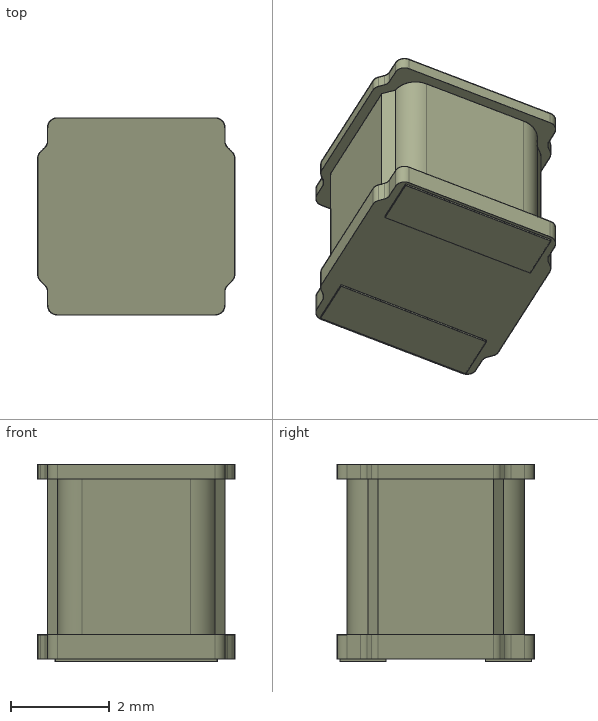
import cadquery as cq

SIZE = 4.0

TOP_PLATE_THICKNESS = 0.3
BOTTOM_PLATE_THICKNESS = 0.5
NOTCH_DEPTH = 0.2
NOTCH_START_Y = 1.25
CORNER_RADIUS = 0.2
NOTCH_RADIUS = 0.19

CORE_SIZE = 3.6
CORE_BODY_WIDTH = 3.2
CORE_RADIUS = 0.5
CORE_SIDE_LENGTH = 3.135
CORE_CHAMFER = 0.4

PAD_THICKNESS = 0.05
PAD_LENGTH = 3.29
PAD_WIDTH = 0.94
PAD_OUTER_Y = 1.945

core_bottom = PAD_THICKNESS + BOTTOM_PLATE_THICKNESS
top_plate_bottom = SIZE - TOP_PLATE_THICKNESS
core_height = top_plate_bottom - core_bottom


def block(x_size, y_size, height, bottom):
    """Rectangular block centred on the Z axis."""
    return cq.Workplane("XY").workplane(offset=bottom).rect(x_size, y_size).extrude(height)


def end_plate(thickness, bottom):
    """Plate narrowed near its corners by a 45 degree step with rounded edges."""
    half = SIZE / 2
    neck = half - NOTCH_DEPTH
    middle = block(SIZE, 2 * NOTCH_START_Y + 2 * NOTCH_DEPTH, thickness, bottom)
    middle = middle.edges("|Z").chamfer(NOTCH_DEPTH)
    plate = middle.union(block(2 * neck, SIZE, thickness, bottom))
    corner_edges = plate.edges("|Z").edges(">Y or <Y")
    plate = corner_edges.fillet(CORNER_RADIUS)

    for bend_x, bend_y in ((half, NOTCH_START_Y), (neck, NOTCH_START_Y + NOTCH_DEPTH)):
        for x_side in (-1, 1):
            for y_side in (-1, 1):
                bend = (x_side * bend_x, y_side * bend_y, bottom + thickness / 2)
                selector = cq.selectors.NearestToPointSelector(bend)
                plate = plate.edges("|Z").edges(selector).fillet(NOTCH_RADIUS)
    return plate


def core():
    """Rounded block crossed by a wider block with chamfered corners."""
    rounded = block(CORE_BODY_WIDTH, CORE_SIZE, core_height, core_bottom)
    rounded = rounded.edges("|Z").fillet(CORE_RADIUS)
    sides = block(CORE_SIZE, CORE_SIDE_LENGTH, core_height, core_bottom)
    sides = sides.edges("|Z").chamfer(CORE_CHAMFER)
    return rounded.union(sides)


def pads():
    """Two flat terminals along the front and back edges."""
    centre_y = PAD_OUTER_Y - PAD_WIDTH / 2
    return (
        cq.Workplane("XY")
        .pushPoints([(0, -centre_y), (0, centre_y)])
        .rect(PAD_LENGTH, PAD_WIDTH)
        .extrude(PAD_THICKNESS)
    )


result = (
    end_plate(BOTTOM_PLATE_THICKNESS, PAD_THICKNESS)
    .union(core())
    .union(end_plate(TOP_PLATE_THICKNESS, top_plate_bottom))
    .union(pads())
)